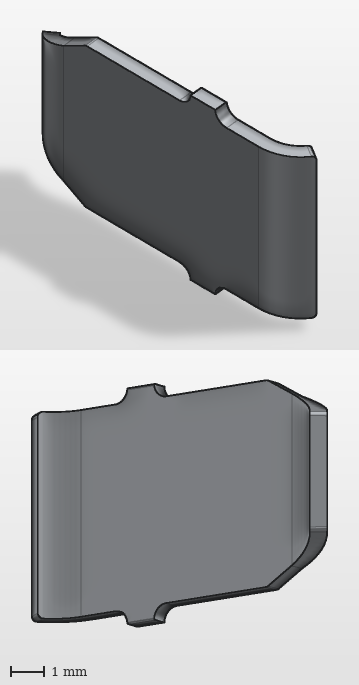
import cadquery as cq
import math

length = 11.05
thickness = 0.52
half_height = 3.17
bend_radius = 1.88
bend_angle = 57.0
corner_radius = 0.17

tab_width = 1.01
tab_half_width = tab_width / 2
tab_center_x = 1.7
tab_total_height = 7.24
tab_half_height = tab_total_height / 2
tab_edge_radius = 0.05

taper_angle = 30.0
taper_start_z = 2.64
taper_tip_z = 1.8

inner_radius = bend_radius - thickness
bend_x = length / 2 - bend_radius * math.sin(math.radians(bend_angle))
cut_margin = 0.55


def bend_point(radius, angle, side):
    """Point on a bend; the angle starts at the flat plate, side is +1 or -1 in X."""
    a = math.radians(angle)
    return side * (bend_x + radius * math.sin(a)), bend_radius - radius * math.cos(a)


def make_curled_sheet():
    return (
        cq.Workplane("XY")
        .moveTo(-bend_x, 0)
        .lineTo(bend_x, 0)
        .threePointArc(bend_point(bend_radius, bend_angle / 2, 1), bend_point(bend_radius, bend_angle, 1))
        .lineTo(*bend_point(inner_radius, bend_angle, 1))
        .threePointArc(bend_point(inner_radius, bend_angle / 2, 1), (bend_x, thickness))
        .lineTo(-bend_x, thickness)
        .threePointArc(bend_point(inner_radius, bend_angle / 2, -1), bend_point(inner_radius, bend_angle, -1))
        .lineTo(*bend_point(bend_radius, bend_angle, -1))
        .threePointArc(bend_point(bend_radius, bend_angle / 2, -1), (-bend_x, 0))
        .close()
        .extrude(half_height, both=True)
    )


def make_flat_taper_cutter():
    """Prism above the sloping edge of the flat plate, on the +Z side."""
    rise = half_height - taper_start_z
    run = rise / math.tan(math.radians(taper_angle))
    left = -length / 2 - cut_margin
    return (
        cq.Workplane("XZ")
        .polyline([
            (left, taper_start_z),
            (-bend_x, taper_start_z),
            (-bend_x + run, half_height),
            (-bend_x + run, half_height + cut_margin),
            (left, half_height + cut_margin),
        ])
        .close()
        .extrude(-(bend_radius + cut_margin))
    )


def make_bend_taper_cutter():
    """Twisted sector whose helical flank carries the taper around the bend."""
    reach = bend_radius + cut_margin
    start = math.radians(bend_angle)
    far_end = 2 * start
    return (
        cq.Workplane("XY")
        .lineTo(-reach * math.sin(start), -reach * math.cos(start))
        .threePointArc(
            (-reach * math.sin(1.5 * start), -reach * math.cos(1.5 * start)),
            (-reach * math.sin(far_end), -reach * math.cos(far_end)),
        )
        .close()
        .twistExtrude(taper_start_z - taper_tip_z, bend_angle)
        .translate((-bend_x, bend_radius, taper_tip_z))
    )


def make_tabs():
    """Full-height crossbar whose ends form the two tabs, with quarter-round concave roots."""
    root_radius = tab_half_height - half_height
    root_x = tab_half_width + root_radius
    arc_mid_x = root_x - root_radius * math.sin(math.pi / 4)
    arc_mid_z = tab_half_height - root_radius * math.cos(math.pi / 4)
    upper = (
        cq.Workplane("XZ")
        .moveTo(-root_x, 0)
        .lineTo(-root_x, half_height)
        .threePointArc((-arc_mid_x, arc_mid_z), (-tab_half_width, tab_half_height))
        .lineTo(tab_half_width, tab_half_height)
        .threePointArc((arc_mid_x, arc_mid_z), (root_x, half_height))
        .lineTo(root_x, 0)
        .close()
        .extrude(-thickness)
        .faces(">Z")
        .edges(">Y")
        .fillet(tab_edge_radius)
        .translate((tab_center_x, 0, 0))
    )
    return upper.union(upper.mirror("XY"))


def round_corners(body):
    """Round the end corners and the corners where the taper begins."""
    taper_x = -bend_x + (half_height - taper_start_z) / math.tan(math.radians(taper_angle))
    mid_radius = bend_radius - thickness / 2
    tip_x, tip_y = bend_point(mid_radius, bend_angle, -1)
    end_x, end_y = bend_point(mid_radius, bend_angle, 1)
    for z_side in (1, -1):
        for corner in (
            (end_x, end_y, z_side * half_height),
            (taper_x, thickness / 2, z_side * half_height),
            (tip_x, tip_y, z_side * taper_tip_z),
        ):
            body = body.edges(cq.selectors.NearestToPointSelector(corner)).fillet(corner_radius)
    return body


sheet = make_curled_sheet()
for cutter in (make_flat_taper_cutter(), make_bend_taper_cutter()):
    sheet = sheet.cut(cutter).cut(cutter.mirror("XY"))

result = round_corners(sheet).union(make_tabs())